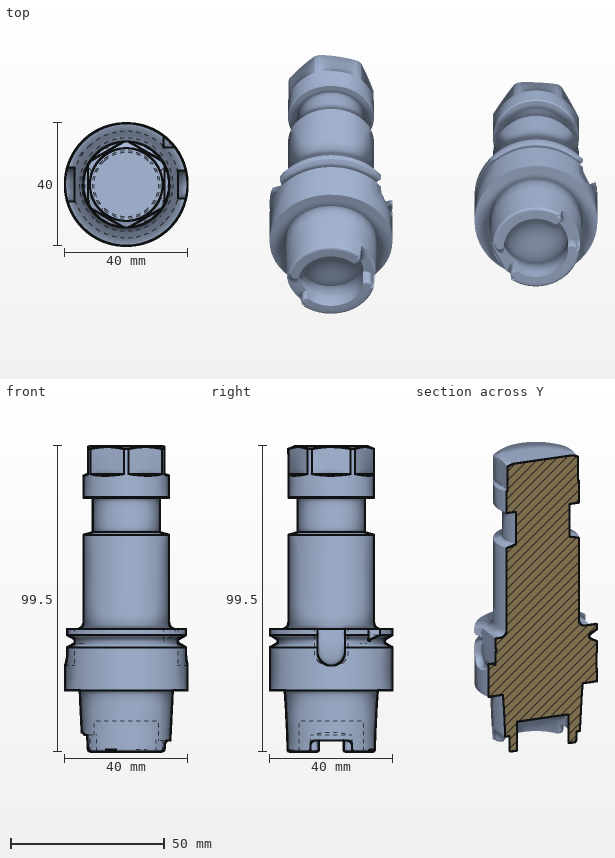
import cadquery as cq
import math

overall_length = 99.48
shank_length = 20.0
flange_height = 20.0
shaft_top = 50.6
neck_start = 51.5
nut_bottom = 62.6
hex_bottom = 70.45
nut_top = overall_length - shank_length

shank_top_radius = 15.2
taper_per_side = 1 / 20
shank_bottom_radius = shank_top_radius - shank_length * taper_per_side
bore_diameter = 21.0
bore_depth = 10.0
shank_edge_fillet = 0.9

drive_slot_width = 8.0
drive_slot_flare = 13.6
flare_tangent_radius = 13.6
drive_slot_corner = 1.5
deep_slot_top = -13.75
shallow_slot_top = -16.35
deep_slot_bevel = 0.8

flange_radius = 20.0
groove_height = 16.0
groove_bottom_radius = 17.4
groove_arc_radius = 0.9
groove_flank_angle = math.radians(30)

key_floor = 16.85
wide_key_width = 11.0
wide_key_corner = 4.5
key_bottom = 8.05
narrow_key_width = 9.0
notch_offset = 12.1

shaft_radius = 14.0
shaft_root_fillet = 2.0
neck_radius = 11.0
nut_radius = 14.0
nut_edge_chamfer = 0.3
nut_top_radius = 11.85
nut_top_chamfer_height = 0.9
hex_across_flats = 25.0
hex_ledge_drop = 0.6
hex_sides = 6

clearance = 1.0


def turned_body():
    """Shank, flange, shaft, neck and round nut blank as one revolved profile."""
    return (
        cq.Workplane("XZ")
        .moveTo(0, -shank_length)
        .lineTo(shank_bottom_radius, -shank_length)
        .lineTo(shank_top_radius, 0)
        .lineTo(flange_radius, 0)
        .lineTo(flange_radius, flange_height)
        .lineTo(shaft_radius + shaft_root_fillet, flange_height)
        .radiusArc((shaft_radius, flange_height + shaft_root_fillet), shaft_root_fillet)
        .lineTo(shaft_radius, shaft_top)
        .lineTo(neck_radius, neck_start)
        .lineTo(neck_radius, nut_bottom)
        .lineTo(nut_radius - nut_edge_chamfer, nut_bottom)
        .lineTo(nut_radius, nut_bottom + nut_edge_chamfer)
        .lineTo(nut_radius, nut_top - nut_top_chamfer_height)
        .lineTo(nut_top_radius, nut_top)
        .lineTo(0, nut_top)
        .close()
        .revolve(360, (0, 0, 0), (0, 1, 0))
    )


def gripper_groove():
    """V groove ring with a rounded bottom tangent to both flanks."""
    tangent_radius = groove_bottom_radius + groove_arc_radius * (1 - math.sin(groove_flank_angle))
    tangent_half = groove_arc_radius * math.cos(groove_flank_angle)
    mouth_radius = flange_radius + clearance
    mouth_half = tangent_half + (mouth_radius - tangent_radius) * math.tan(groove_flank_angle)
    return (
        cq.Workplane("XZ")
        .moveTo(mouth_radius, groove_height - mouth_half)
        .lineTo(tangent_radius, groove_height - tangent_half)
        .threePointArc(
            (groove_bottom_radius, groove_height),
            (tangent_radius, groove_height + tangent_half),
        )
        .lineTo(mouth_radius, groove_height + mouth_half)
        .close()
        .revolve(360, (0, 0, 0), (0, 1, 0))
    )


def key_slot(side, width, bottom, corner):
    """Flat-floored slot open at the top of the flange; side is -1 or +1 along X."""
    half = width / 2
    corner_centre = half - corner
    corner_top = bottom + corner
    outline = (
        cq.Workplane("YZ")
        .moveTo(half, flange_height)
        .lineTo(half, corner_top)
        .radiusArc((corner_centre, bottom), corner)
    )
    if corner_centre > 0:
        outline = outline.lineTo(-corner_centre, bottom)
    outline = outline.radiusArc((-half, corner_top), corner).lineTo(-half, flange_height).close()
    cutter = outline.extrude(flange_radius).translate((key_floor, 0, 0))
    if side < 0:
        cutter = cutter.mirror("YZ")
    return cutter


def orientation_notch():
    """Square corner cut through the upper lip into the groove, at +X +Y."""
    return cq.Workplane("XY").box(
        flange_radius, flange_radius, flange_height - groove_height, centered=False
    ).translate((notch_offset, notch_offset, groove_height))


def drive_slot(side, top, bevel):
    """Slot through the shank wall on one X side, its mouth flaring in a convex rounding."""
    half = drive_slot_width / 2
    half_flare = drive_slot_flare / 2
    rounding = flare_tangent_radius * (half_flare - half) / (flare_tangent_radius + half_flare)
    reach = shank_top_radius + clearance
    arc_centre_y = half + rounding
    arc_centre_x = math.sqrt((flare_tangent_radius - rounding) ** 2 - arc_centre_y**2)
    arc_angle = math.atan2(arc_centre_y, arc_centre_x)

    def arc_point(angle, sign):
        return (
            arc_centre_x + rounding * math.cos(angle),
            sign * (arc_centre_y + rounding * math.sin(angle)),
        )

    start_angle = -math.pi / 2
    middle_angle = (start_angle + arc_angle) / 2
    plan = (
        cq.Workplane("XY")
        .moveTo(0, -half)
        .lineTo(arc_centre_x, -half)
        .threePointArc(arc_point(middle_angle, -1), arc_point(arc_angle, -1))
        .lineTo(reach, arc_point(arc_angle, -1)[1])
        .lineTo(reach, arc_point(arc_angle, 1)[1])
        .lineTo(*arc_point(arc_angle, 1))
        .threePointArc(arc_point(middle_angle, 1), (arc_centre_x, half))
        .lineTo(0, half)
        .close()
        .extrude(-shank_length)
    )
    outline = (
        cq.Workplane("XY")
        .box(2 * reach, drive_slot_flare, 2 * (shank_length + top))
        .edges("|X and >Z")
        .fillet(drive_slot_corner)
        .translate((0, 0, -shank_length))
    )
    cutter = plan.intersect(outline)
    if bevel > 0:
        bevel_outer = shank_bottom_radius
        ceiling = (
            cq.Workplane("XZ")
            .moveTo(0, top)
            .lineTo(bevel_outer, top)
            .lineTo(bevel_outer - bevel, top - bevel)
            .lineTo(0, top - bevel)
            .close()
            .extrude(reach, both=True)
        )
        cutter = cutter.cut(ceiling)
    if side < 0:
        cutter = cutter.mirror("YZ")
    return cutter


def shank_bore():
    """Blind bore rising from the end of the shank."""
    return cq.Workplane("XY", origin=(0, 0, -shank_length)).circle(bore_diameter / 2).extrude(bore_depth)


def drive_slot_end_edges(part):
    """Edges of the shank end face that belong to the drive slots: flat walls and flared mouths."""
    end_edges = part.faces("<Z").edges().vals()
    largest_flare_radius = drive_slot_width / 2
    return [e for e in end_edges if e.geomType() == "LINE" or e.radius() < largest_flare_radius]


def shank_rim_rounding():
    """Ring that rounds the outer rim of the shank end."""
    rim_height = shank_edge_fillet - shank_length
    rim_radius = shank_bottom_radius + taper_per_side * shank_edge_fillet
    reach = shank_top_radius
    return (
        cq.Workplane("XZ")
        .moveTo(shank_bottom_radius - shank_edge_fillet, -shank_length)
        .radiusArc((rim_radius, rim_height), -shank_edge_fillet)
        .lineTo(reach, rim_height)
        .lineTo(reach, -shank_length)
        .close()
        .revolve(360, (0, 0, 0), (0, 1, 0))
    )


def hex_flat(angle):
    """Cutter for one wrench flat, with a ledge that falls away outwards."""
    apothem = hex_across_flats / 2
    slope = hex_ledge_drop / (nut_radius - apothem)
    reach = nut_radius + clearance
    return (
        cq.Workplane("XZ")
        .moveTo(apothem, hex_bottom)
        .lineTo(reach, hex_bottom - slope * (reach - apothem))
        .lineTo(reach, nut_top)
        .lineTo(apothem, nut_top)
        .close()
        .extrude(nut_radius, both=True)
        .rotate((0, 0, 0), (0, 0, 1), angle)
    )


body = turned_body().cut(gripper_groove())
body = body.cut(key_slot(-1, wide_key_width, key_bottom, wide_key_corner))
body = body.cut(key_slot(1, narrow_key_width, key_bottom, narrow_key_width / 2))
body = body.cut(orientation_notch())
for flat in range(hex_sides):
    body = body.cut(hex_flat(flat * 360 / hex_sides))

body = body.cut(drive_slot(-1, deep_slot_top, deep_slot_bevel))
body = body.cut(drive_slot(1, shallow_slot_top, 0))
body = body.cut(shank_bore())
body = body.newObject(drive_slot_end_edges(body)).fillet(shank_edge_fillet)
result = body.cut(shank_rim_rounding())